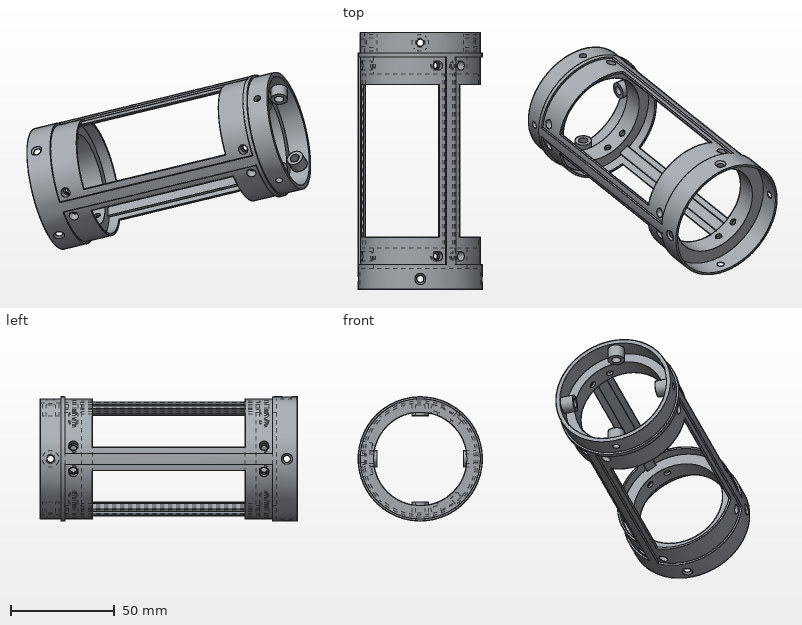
import cadquery as cq
import math

length = 124.0
spigot_length = 10.0
flange_width = 2.0
socket_depth = 10.0
collar_length = 12.0
sleeve_length = 13.2
web_length = 8.0
flange_end = length - spigot_length
flange_start = flange_end - flange_width

collar_diameter = 60.0
collar_radius = collar_diameter / 2
sleeve_diameter = 58.0
socket_diameter = 58.0
sleeve_bore = 56.0
spigot_bore = 54.0
ring_bore = 45.0

rail_angles = (60, 180, 300)
rail_width = 11.4
key_width = 5.2
key_inner_radius = 26.5

rail_screw_angle = 12.7
rail_screw_setback = 4.0
rail_screw_diameter = 3.2
rail_head_diameter = 4.5
rail_head_floor_radius = 24.0

cross_angles = (0, 90, 180, 270)
cross_hole_inset = 5.0
cross_screw_diameter = 3.4
socket_sink_diameter = 5.4
boss_diameter = 8.0
boss_inner_radius = 20.8
insert_diameter = 4.5
insert_floor_radius = 26.0


def cylinder(diameter, start, end):
    """Cylinder about the Y axis between two stations."""
    profile = cq.Workplane("XZ", origin=(0, start, 0)).circle(diameter / 2)
    return profile.extrude(start - end)


def radial_rod(diameter, angle, station, inner_radius, outer_radius, outer_diameter=None):
    """Rod or cone pointing away from the Y axis; angle is turned from +X towards +Z."""
    direction = cq.Vector(math.cos(math.radians(angle)), 0, math.sin(math.radians(angle)))
    base = direction * inner_radius + cq.Vector(0, station, 0)
    height = outer_radius - inner_radius
    if outer_diameter is None:
        solid = cq.Solid.makeCylinder(diameter / 2, height, base, direction)
    else:
        solid = cq.Solid.makeCone(diameter / 2, outer_diameter / 2, height, base, direction)
    return cq.Workplane(solid)


def barrel():
    """Turned body: socket collar, thin sleeve between two bored webs, flange and spigot."""
    lower_web_end = collar_length + web_length
    upper_web_start = flange_start - web_length
    body = cylinder(collar_diameter, 0, collar_length)
    body = body.union(cylinder(sleeve_diameter, collar_length, length))
    body = body.union(cylinder(collar_diameter, flange_start, flange_end))
    body = body.cut(cylinder(socket_diameter, 0, socket_depth))
    body = body.cut(cylinder(ring_bore, socket_depth, flange_end))
    body = body.cut(cylinder(sleeve_bore, lower_web_end, upper_web_start))
    return body.cut(cylinder(spigot_bore, flange_end, length))


def rail_block(width, inner_radius, start, end, angle):
    """Rectangular bar of the given width from a flat at the inner radius to beyond the collar."""
    depth = collar_diameter - inner_radius
    middle = (inner_radius + depth / 2, (start + end) / 2, 0)
    block = cq.Workplane(origin=middle).box(depth, end - start, width)
    return block.rotate((0, 0, 0), (0, 1, 0), -angle)


def cut_windows(body):
    """Openings in the sleeve that leave only the rails standing."""
    start = collar_length + sleeve_length
    end = flange_start - sleeve_length
    openings = cylinder(collar_diameter, start, end)
    for angle in rail_angles:
        openings = openings.cut(rail_block(rail_width, 0, start, end, angle))
    return body.cut(openings)


def add_keys(body):
    """Bars along the middle of the rails, proud of the sleeve both outside and inside."""
    envelope = cylinder(collar_diameter, collar_length, flange_start)
    for angle in rail_angles:
        bar = rail_block(key_width, key_inner_radius, collar_length, flange_start, angle)
        body = body.union(bar.intersect(envelope))
    return body


def cut_rail_screws(body):
    """Counterbored radial holes on both sides of every rail end."""
    for station in (collar_length + rail_screw_setback, flange_start - rail_screw_setback):
        for rail_angle in rail_angles:
            for offset in (-rail_screw_angle, rail_screw_angle):
                angle = rail_angle + offset
                body = body.cut(radial_rod(rail_screw_diameter, angle, station, 0, collar_radius))
                body = body.cut(
                    radial_rod(rail_head_diameter, angle, station, rail_head_floor_radius, collar_radius)
                )
    return body


def cut_socket_screws(body):
    """Countersunk holes through the socket wall."""
    station = cross_hole_inset
    for angle in cross_angles:
        body = body.cut(radial_rod(cross_screw_diameter, angle, station, 0, collar_radius))
        sink = radial_rod(
            cross_screw_diameter, angle, station, socket_diameter / 2, collar_radius, socket_sink_diameter
        )
        body = body.cut(sink)
    return body


def add_spigot_bosses(body):
    """Bosses on the inside of the spigot wall, each with a screw hole and an insert pocket."""
    station = length - cross_hole_inset
    wall_middle = (spigot_bore + sleeve_diameter) / 4
    for angle in cross_angles:
        body = body.union(radial_rod(boss_diameter, angle, station, boss_inner_radius, wall_middle))
        body = body.cut(radial_rod(cross_screw_diameter, angle, station, 0, collar_radius))
        body = body.cut(radial_rod(insert_diameter, angle, station, boss_inner_radius, insert_floor_radius))
    return body


result = barrel()
result = cut_windows(result)
result = add_keys(result)
result = cut_rail_screws(result)
result = cut_socket_screws(result)
result = add_spigot_bosses(result)